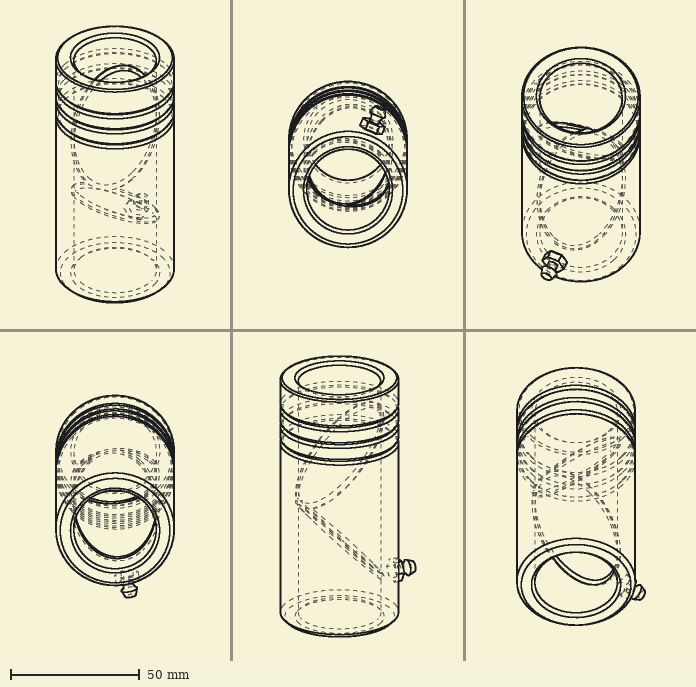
import cadquery as cq
import math

sleeve_length = 100.0
outer_radius = 23.0
bore_radius = 16.0
top_chamfer = 0.75
bottom_chamfer = 1.7
bore_chamfer = 1.3

ring_groove_count = 3
ring_groove_pitch = 7.0
first_ring_groove_drop = 12.0
ring_groove_half_width = 1.2
ring_groove_depth = 1.0

nipple_height = 15.0
nipple_reach = 32.0
hex_across_flats = 8.0
hex_seat = 22.7
hex_outer_face = 25.9
neck_radius = 1.85
neck_end = 27.0
head_radius = 3.15
head_widest = 29.35
tip_radius = 2.15

oil_groove_radius = 1.15
oil_loop_rise = (sleeve_length / 2 - nipple_height) / 2


def ring_groove(centre_height):
    """Ring of triangular section that cuts one V groove."""
    root_radius = outer_radius - ring_groove_depth
    return (
        cq.Workplane("XZ")
        .moveTo(root_radius, centre_height)
        .lineTo(outer_radius, centre_height + ring_groove_half_width)
        .lineTo(outer_radius + ring_groove_depth, centre_height + ring_groove_half_width)
        .lineTo(outer_radius + ring_groove_depth, centre_height - ring_groove_half_width)
        .lineTo(outer_radius, centre_height - ring_groove_half_width)
        .close()
        .revolve(360, (0, 0, 0), (0, 1, 0))
    )


def oil_loop(direction):
    """Round cord along the tilted ellipse where a plane crosses the bore."""
    centre = cq.Vector(0, 0, sleeve_length / 2 + direction * oil_loop_rise)
    uphill = cq.Vector(0, bore_radius, direction * oil_loop_rise)
    plane = cq.Plane(origin=centre, xDir=uphill, normal=(0, -direction * oil_loop_rise, bore_radius))
    path = cq.Workplane(plane).ellipse(uphill.Length, bore_radius)
    start = cq.Plane(origin=centre + uphill, xDir=uphill, normal=(1, 0, 0))
    return cq.Workplane(start).circle(oil_groove_radius).sweep(path)


def make_sleeve():
    sleeve = cq.Workplane("XY").circle(outer_radius).extrude(sleeve_length)
    sleeve = sleeve.faces(">Z").chamfer(top_chamfer)
    sleeve = sleeve.faces("<Z").chamfer(bottom_chamfer)
    bore = cq.Workplane("XY").circle(bore_radius).extrude(sleeve_length)
    sleeve = sleeve.cut(bore)
    sleeve = sleeve.edges(cq.selectors.RadiusNthSelector(0)).chamfer(bore_chamfer)
    for index in range(ring_groove_count):
        drop = first_ring_groove_drop + index * ring_groove_pitch
        sleeve = sleeve.cut(ring_groove(sleeve_length - drop))
    for direction in (1, -1):
        sleeve = sleeve.cut(oil_loop(direction))
    return sleeve


def make_nipple():
    hexagon = (
        cq.Workplane("XZ", origin=(0, hex_outer_face, nipple_height))
        .polygon(6, hex_across_flats / math.cos(math.pi / 6))
        .extrude(hex_outer_face - hex_seat)
    )
    head = (
        cq.Workplane("XY", origin=(0, 0, nipple_height))
        .moveTo(0, hex_outer_face)
        .lineTo(neck_radius, hex_outer_face)
        .lineTo(neck_radius, neck_end)
        .tangentArcPoint((head_radius, head_widest), relative=False)
        .lineTo(tip_radius, nipple_reach)
        .lineTo(0, nipple_reach)
        .close()
        .revolve(360, (0, 0, 0), (0, 1, 0))
    )
    return hexagon.union(head)


nipple = make_nipple()
sleeve = make_sleeve().cut(nipple)
result = cq.Compound.makeCompound([sleeve.val(), nipple.val()])